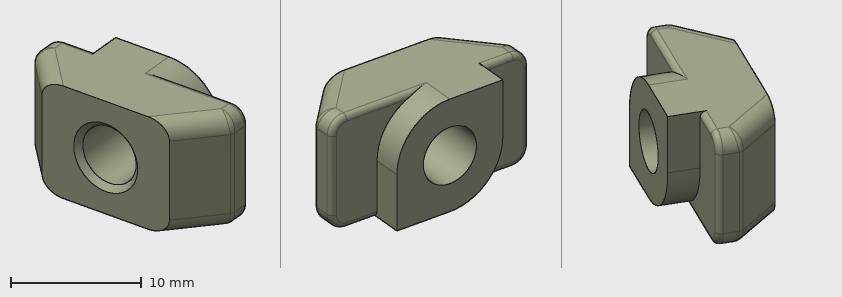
import cadquery as cq

length = 18.7
height = 10.0
depth = 8.3

body_depth = 5.7
front_length = 12.0
side_depth = 2.0
corner_radius = 1.5
shoulder_radius = 0.5
rim_radius = 0.5

hole_diameter = 5.01
mouth_chamfer = 0.5

back_y = body_depth
shoulder_y = body_depth - side_depth
selection_margin = 0.19
half_length = length / 2
half_height = height / 2
half_front = front_length / 2


def along_y(start_y):
    """Workplane facing +Y, with local Y pointing along +Z and local X along -X."""
    return cq.Workplane("XZ", origin=(0, start_y, 0)).transformed(rotate=(0, 180, 0))


def make_body():
    body = (
        cq.Workplane("XY")
        .polyline([
            (-half_front, 0),
            (half_front, 0),
            (half_length, shoulder_y),
            (half_length, back_y),
            (-half_length, back_y),
            (-half_length, shoulder_y),
        ])
        .close()
        .extrude(half_height, both=True)
    )
    shoulders = cq.selectors.BoxSelector(
        (-length, shoulder_y / 2, -height), (length, back_y - side_depth / 2, height)
    )
    body = body.edges("|Z").edges(shoulders).fillet(shoulder_radius)
    for side in (-1, 1):
        end_zone = cq.selectors.BoxSelector(
            (side * half_front, selection_margin, -height),
            (side * length, back_y - selection_margin, height),
        )
        body = body.edges("not |Z").edges(end_zone).fillet(corner_radius)
    return body.faces(">Y").edges().fillet(rim_radius)


def make_boss():
    """Round boss with two diagonally opposite corners left square."""
    base_y = back_y - rim_radius
    boss_height = depth - base_y
    boss = along_y(base_y).circle(half_height).extrude(boss_height)
    for side in (-1, 1):
        corner = (
            along_y(base_y)
            .center(side * half_height / 2, side * half_height / 2)
            .rect(half_height, half_height)
            .extrude(boss_height)
        )
        boss = boss.union(corner)
    return boss


def make_hole():
    hole_radius = hole_diameter / 2
    mouth_radius = hole_radius + mouth_chamfer
    hole = along_y(0).circle(hole_radius).extrude(depth)
    mouth = cq.Workplane("XY").add(
        cq.Solid.makeCone(
            mouth_radius, hole_radius, mouth_chamfer, cq.Vector(0, 0, 0), cq.Vector(0, 1, 0)
        )
    )
    return hole.union(mouth)


result = make_body().union(make_boss()).cut(make_hole())